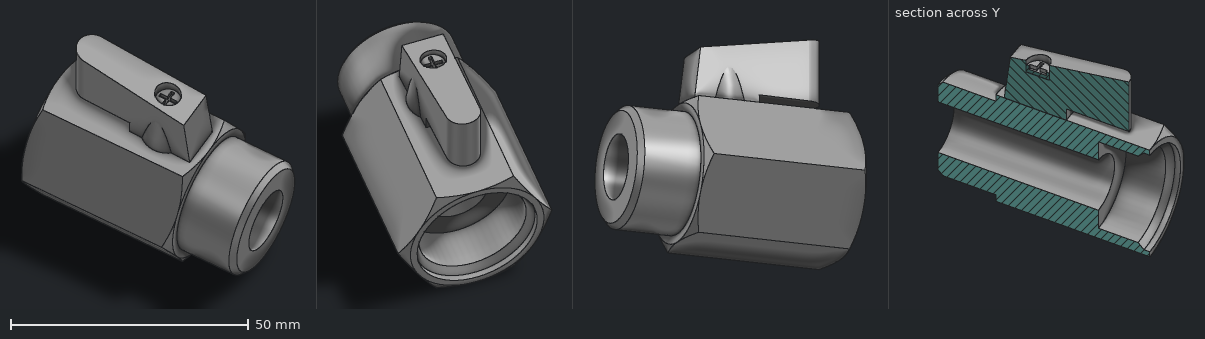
import cadquery as cq
import math

total_length = 51.0
hex_corners = 34.65
hex_flat_radius = hex_corners / 2 * math.cos(math.radians(30))
hex_length = 37.05
hex_chamfer_angle = 30.0
hex_chamfer_length = (hex_corners / 2 - hex_flat_radius) * math.tan(math.radians(hex_chamfer_angle))
spigot_radius = 26.4 / 2
spigot_chamfer = 1.2
mouth_radius = 27.0 / 2
mouth_depth = 1.4
socket_radius = 24.1 / 2
socket_taper_end = mouth_depth + mouth_radius - socket_radius
socket_depth = 12.35
port_radius = 14.0 / 2

handle_base_z = hex_flat_radius
handle_top_z = 47.0 - hex_flat_radius
handle_tip_x = 5.0
handle_tip_radius = 3.7
handle_end_x = 35.1
handle_end_half_width = 4.7
handle_end_top_x = 33.6
handle_top_slope = 10.0
handle_end_top_z = handle_top_z - (handle_end_top_x - handle_tip_x) * math.tan(math.radians(handle_top_slope))
grip_bottom_z = 18.0
foot_start_x = 20.05

stem_x = 27.0
boss_base_radius = 5.75
boss_taper = 9.4
boss_height = 9.2
boss_top_radius = boss_base_radius - boss_height * math.tan(math.radians(boss_taper))

screw_radius = 5.6 / 2
screw_top_z = 26.5
screw_height = 2.05
screw_edge_fillet = 0.485
slot_length = 4.1
slot_width = 0.75
slot_depth = 1.0
screw_bottom_z = screw_top_z - screw_height


def make_housing():
    """Hexagonal socket and round spigot with a stepped bore through both."""
    hexagon = (
        cq.Workplane("YZ")
        .polygon(6, hex_corners)
        .extrude(hex_length)
    )
    blank = (
        cq.Workplane("XY")
        .moveTo(0, 0)
        .lineTo(0, hex_flat_radius)
        .lineTo(hex_chamfer_length, hex_corners / 2)
        .lineTo(hex_length - hex_chamfer_length, hex_corners / 2)
        .lineTo(hex_length, hex_flat_radius)
        .lineTo(hex_length, 0)
        .close()
        .revolve(360, (0, 0, 0), (1, 0, 0))
    )
    spigot = (
        cq.Workplane("YZ")
        .workplane(offset=hex_length)
        .circle(spigot_radius)
        .extrude(total_length - hex_length)
        .faces(">X")
        .chamfer(spigot_chamfer)
    )
    bore = (
        cq.Workplane("XY")
        .moveTo(0, 0)
        .lineTo(0, mouth_radius)
        .lineTo(mouth_depth, mouth_radius)
        .lineTo(socket_taper_end, socket_radius)
        .lineTo(socket_depth, socket_radius)
        .lineTo(socket_depth, port_radius)
        .lineTo(total_length, port_radius)
        .lineTo(total_length, 0)
        .close()
        .revolve(360, (0, 0, 0), (1, 0, 0))
    )
    return hexagon.intersect(blank).union(spigot).cut(bore)


def make_handle_plan():
    """Tall prism of the handle's plan: straight sides tangent to a round tip."""
    tip_center_x = handle_tip_x + handle_tip_radius
    run = handle_end_x - tip_center_x
    side_angle = math.atan2(handle_end_half_width, run) - math.asin(
        handle_tip_radius / math.hypot(run, handle_end_half_width)
    )
    tangent_x = tip_center_x - handle_tip_radius * math.sin(side_angle)
    tangent_y = handle_tip_radius * math.cos(side_angle)
    return (
        cq.Workplane("XY")
        .workplane(offset=handle_base_z)
        .moveTo(handle_end_x, -handle_end_half_width)
        .lineTo(handle_end_x, handle_end_half_width)
        .lineTo(tangent_x, tangent_y)
        .threePointArc((handle_tip_x, 0), (tangent_x, -tangent_y))
        .close()
        .extrude(handle_top_z - handle_base_z)
    )


def make_handle():
    """Lever with a sloping top, a foot on the housing, a boss and a screw hole."""
    side_profile = (
        cq.Workplane("XZ")
        .moveTo(handle_tip_x, grip_bottom_z)
        .lineTo(handle_tip_x, handle_top_z)
        .lineTo(handle_end_top_x, handle_end_top_z)
        .lineTo(handle_end_x, handle_base_z)
        .lineTo(foot_start_x, handle_base_z)
        .lineTo(foot_start_x, grip_bottom_z)
        .close()
        .extrude(handle_end_half_width, both=True)
    )
    boss = cq.Workplane(
        cq.Solid.makeCone(boss_base_radius, boss_top_radius, boss_height, cq.Vector(stem_x, 0, handle_base_z))
    )
    screw_hole = (
        cq.Workplane("XY", origin=(stem_x, 0, screw_bottom_z))
        .circle(screw_radius)
        .extrude(handle_top_z - screw_bottom_z)
    )
    return make_handle_plan().intersect(side_profile).union(boss).cut(screw_hole)


def make_screw():
    """Round screw head with a rounded rim and a cross slot."""
    screw = (
        cq.Workplane("XY", origin=(stem_x, 0, screw_bottom_z))
        .circle(screw_radius)
        .extrude(screw_height)
        .faces(">Z")
        .edges()
        .fillet(screw_edge_fillet)
    )
    for slot_angle in (0, 90):
        slot = (
            cq.Workplane("XY", origin=(stem_x, 0, screw_top_z))
            .transformed(rotate=(0, 0, slot_angle))
            .rect(slot_length, slot_width)
            .extrude(-slot_depth)
        )
        screw = screw.cut(slot)
    return screw


housing = make_housing()
handle = make_handle()
screw = make_screw()

result = cq.Compound.makeCompound([housing.val(), handle.val(), screw.val()])